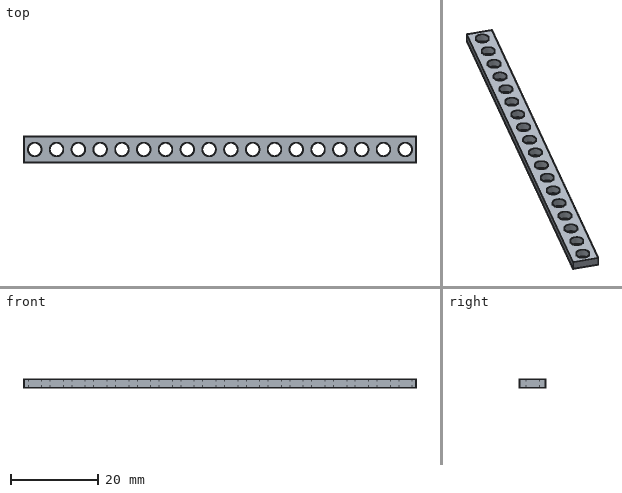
import cadquery as cq

length = 90.0
width = 6.0
thickness = 2.0

hole_count = 18
hole_diameter = 3.1
hole_pitch = length / hole_count

bar = cq.Workplane("XY").box(length, width, thickness)

result = (
    bar.faces(">Z")
    .workplane()
    .rarray(hole_pitch, width, hole_count, 1)
    .hole(hole_diameter)
)